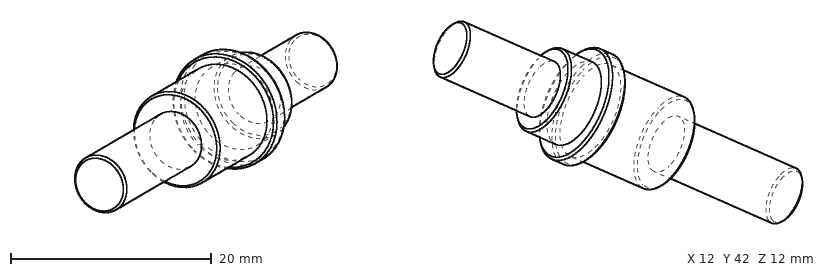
import cadquery as cq

total_length = 42.0
shaft_diameter = 6.0
body_diameter = 10.0
flange_diameter = 12.0
collar_diameter = 9.0

front_shaft_length = 15.0
body_length = 9.5
flange_thickness = 2.0
collar_length = 4.0

edge_chamfer = 0.25

body_start = front_shaft_length
flange_start = body_start + body_length
collar_start = flange_start + flange_thickness


def turned_section(diameter, start, length, chamfered_ends):
    """Solid cylinder on the Y axis with the selected end edges chamfered."""
    blank = cq.Workplane("XZ", origin=(0, start, 0)).circle(diameter / 2).extrude(-length)
    return blank.faces(chamfered_ends).chamfer(edge_chamfer)


shaft = turned_section(shaft_diameter, 0, total_length, "<Y or >Y")
body = turned_section(body_diameter, body_start, body_length, "<Y")
flange = turned_section(flange_diameter, flange_start, flange_thickness, "<Y or >Y")
collar = turned_section(collar_diameter, collar_start, collar_length, ">Y")

result = shaft.union(body).union(flange).union(collar)